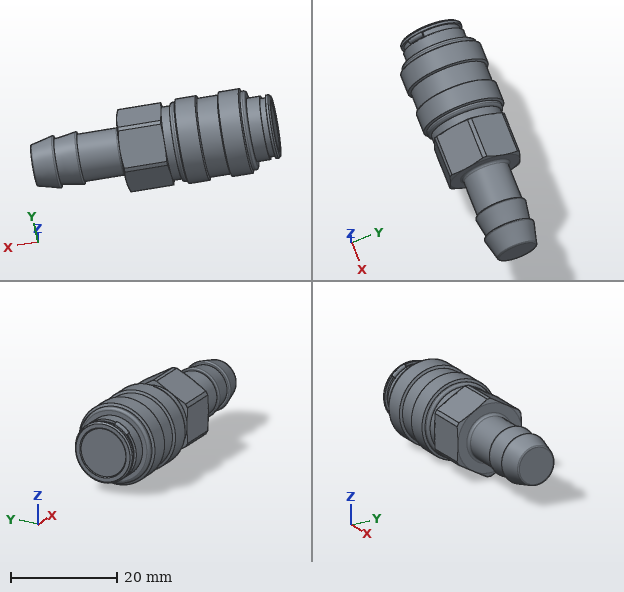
import cadquery as cq
import math

total_length = 46.15
sleeve_start = 4.45
sleeve_end = 18.95
band_inset = 0.95
band_length = 4.35
hex_start = 20.6
hex_end = 29.1
first_barb_start = 37.15
second_barb_start = 41.6

nose_radius = 12.15 / 2
groove_radius = 11.15 / 2
band_radius = 16.15 / 2
sleeve_radius = 15.1 / 2
neck_radius = 14.0 / 2
tube_radius = 9.05 / 2
barb_peak_radius = 5.08
barb_valley_radius = 4.35
tip_radius = 3.9

nose_chamfer = 0.3
band_side_run = 0.25
sleeve_fillet = sleeve_radius - neck_radius
tube_root_fillet = 0.5
barb_fillet = 0.28

recess_mouth_radius = 9.88 / 2
recess_floor_radius = 9.5 / 2
recess_depth = recess_mouth_radius - recess_floor_radius

hex_across_flats = 2 * neck_radius
hex_corner_radius = 7.85
hex_front_bevel = 0.15
hex_rear_bevel = 0.28

groove_start = 0.85
groove_width = 1.1
wire_radius = 0.95 / 2
wire_path_radius = groove_radius + wire_radius
wire_start_angle = 19.0
wire_sweep_angle = 29.0


def revolve_about_axis(profile):
    return profile.close().revolve(360, (0, 0, 0), (1, 0, 0))


def make_nose():
    groove_end = groove_start + groove_width
    return revolve_about_axis(
        cq.Workplane("XY")
        .moveTo(recess_depth, 0)
        .lineTo(recess_depth, recess_floor_radius)
        .lineTo(0, recess_mouth_radius)
        .lineTo(0, nose_radius - nose_chamfer)
        .lineTo(nose_chamfer, nose_radius)
        .lineTo(groove_start, nose_radius)
        .lineTo(groove_start, groove_radius)
        .lineTo(groove_end, groove_radius)
        .lineTo(groove_end, nose_radius)
        .lineTo(sleeve_start, nose_radius)
        .lineTo(sleeve_start, 0)
    )


def make_band(start):
    end = start + band_length
    return revolve_about_axis(
        cq.Workplane("XY")
        .moveTo(start, 0)
        .lineTo(start, sleeve_radius)
        .lineTo(start + band_side_run, band_radius)
        .lineTo(end - band_side_run, band_radius)
        .lineTo(end, sleeve_radius)
        .lineTo(end, 0)
    )


def make_sleeve():
    sleeve = (
        cq.Workplane("YZ", origin=(sleeve_start, 0, 0))
        .circle(sleeve_radius)
        .extrude(sleeve_end - sleeve_start)
        .edges("%CIRCLE")
        .fillet(sleeve_fillet)
    )
    front_band_start = sleeve_start + band_inset
    rear_band_start = sleeve_end - band_inset - band_length
    for band_start in (front_band_start, rear_band_start):
        sleeve = sleeve.union(make_band(band_start))
    return sleeve


def make_neck():
    return (
        cq.Workplane("YZ", origin=(sleeve_end, 0, 0))
        .circle(neck_radius)
        .extrude(hex_start - sleeve_end)
    )


def make_hexagon():
    across_corners = hex_across_flats / math.cos(math.pi / 6)
    prism = (
        cq.Workplane("YZ", origin=(hex_start, 0, 0))
        .transformed(rotate=(0, 0, 90))
        .polygon(6, across_corners)
        .extrude(hex_end - hex_start)
    )
    flat_radius = hex_across_flats / 2
    turned_envelope = revolve_about_axis(
        cq.Workplane("XY")
        .moveTo(hex_start, 0)
        .lineTo(hex_start, flat_radius)
        .lineTo(hex_start + hex_front_bevel, hex_corner_radius)
        .lineTo(hex_end - hex_rear_bevel, hex_corner_radius)
        .lineTo(hex_end, flat_radius)
        .lineTo(hex_end, 0)
    )
    return prism.intersect(turned_envelope)


def make_tube():
    fillet_end = hex_end + tube_root_fillet
    fillet_top = tube_radius + tube_root_fillet
    return revolve_about_axis(
        cq.Workplane("XY")
        .moveTo(hex_end, 0)
        .lineTo(hex_end, fillet_top)
        .radiusArc((fillet_end, tube_radius), -tube_root_fillet)
        .lineTo(first_barb_start, tube_radius)
        .lineTo(first_barb_start, 0)
    )


def make_barb(start, end, end_radius):
    cone = cq.Solid.makeCone(
        barb_peak_radius, end_radius, end - start, pnt=(start, 0, 0), dir=(1, 0, 0)
    )
    return cq.Workplane(cone)


def make_body():
    first_barb = make_barb(first_barb_start, second_barb_start, barb_valley_radius)
    second_barb = make_barb(second_barb_start, total_length, tip_radius)
    first_barb = first_barb.edges("<X").fillet(barb_fillet)
    second_barb = second_barb.edges("%CIRCLE").fillet(barb_fillet)
    return (
        make_nose()
        .union(make_sleeve())
        .union(make_neck())
        .union(make_hexagon())
        .union(make_tube())
        .union(first_barb)
        .union(second_barb)
    )


def make_wire_segment():
    """Round wire lying on the groove floor, swept about the X axis."""
    centre_x = groove_start + groove_width / 2
    return (
        cq.Workplane("XZ")
        .center(centre_x, wire_path_radius)
        .circle(wire_radius)
        .revolve(wire_sweep_angle, (0, -wire_path_radius), (1, -wire_path_radius))
        .rotate((0, 0, 0), (1, 0, 0), wire_start_angle)
    )


body = make_body()
wire_segment = make_wire_segment()

result = cq.Compound.makeCompound([body.val(), wire_segment.val()])